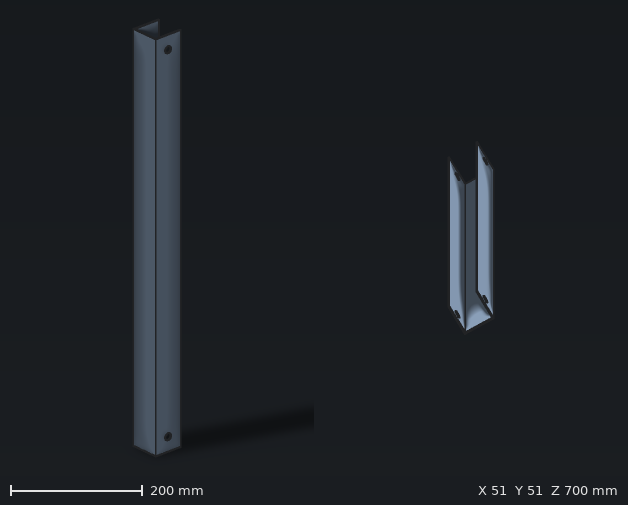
import cadquery as cq

length = 700.0
width = 51.0
depth = 51.0
wall = 2.0
hole_diameter = 12.0
hole_end_distance = 25.0


def channel():
    outer = cq.Workplane("XY").box(width, depth, length)
    cavity = cq.Workplane("XY").box(width - 2 * wall, depth, length).translate((0, wall, 0))
    return outer.cut(cavity)


def flange_holes():
    """Cutters along X that pass through both flanges, centred on their depth."""
    hole_height = length / 2 - hole_end_distance
    return (
        cq.Workplane("YZ")
        .pushPoints([(0, -hole_height), (0, hole_height)])
        .circle(hole_diameter / 2)
        .extrude(width, both=True)
    )


result = channel().cut(flange_holes())